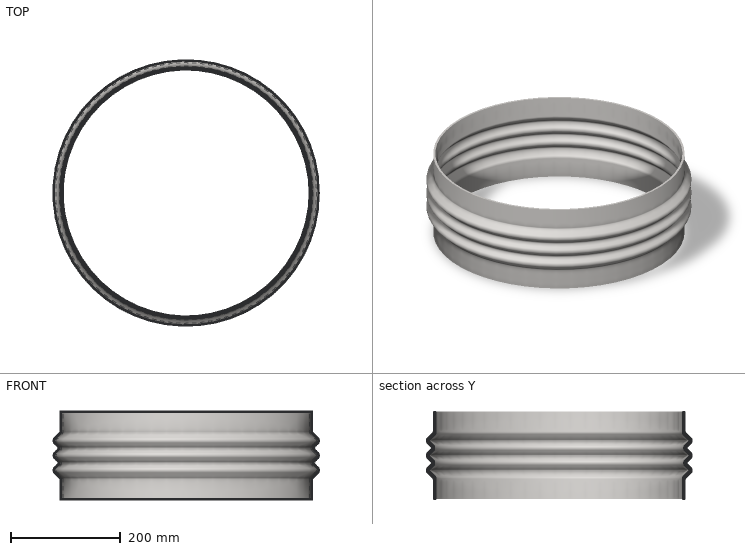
import cadquery as cq
import math

height = 160.0
collar_outer_diameter = 458.0
collar_inner_diameter = 450.0
fold_height = 15.0
ridge_pitch = 27.0
ridge_count = 3
tight_bend_radius = 2.0

wall = (collar_outer_diameter - collar_inner_diameter) / 2
wide_bend_radius = tight_bend_radius + wall
half_height = height / 2
full_turn = 360

flank_slant = math.sqrt(2)
outer_apex_radius = collar_outer_diameter / 2 + fold_height


def fold_corners(depth):
    """Sharp (radius, z) corners of the surface lying at a depth below the outer skin, top to bottom."""
    collar_radius = collar_outer_diameter / 2 - depth
    apex_radius = outer_apex_radius - depth * flank_slant
    valley_radius = apex_radius - ridge_pitch / 2
    top_ridge_z = ridge_pitch * (ridge_count - 1) / 2
    neck_z = top_ridge_z + apex_radius - collar_radius

    corners = [(collar_radius, neck_z)]
    for ridge in range(ridge_count):
        ridge_z = top_ridge_z - ridge * ridge_pitch
        if ridge > 0:
            corners.append((valley_radius, ridge_z + ridge_pitch / 2))
        corners.append((apex_radius, ridge_z))
    corners.append((collar_radius, -neck_z))
    return corners


def unit_vector(start, end):
    return (end - start).normalized()


def add_bend(profile, before, corner, after, bend_radius):
    """Draw up to a corner and round it with a tangent arc."""
    to_before = unit_vector(corner, before)
    to_after = unit_vector(corner, after)
    half_angle = to_before.getAngle(to_after) / 2
    tangent_length = bend_radius / math.tan(half_angle)
    middle_length = bend_radius / math.sin(half_angle) - bend_radius
    bisector = (to_before + to_after).normalized()

    arc_start = corner + to_before * tangent_length
    arc_middle = corner + bisector * middle_length
    arc_end = corner + to_after * tangent_length
    profile = profile.lineTo(arc_start.x, arc_start.y)
    return profile.threePointArc((arc_middle.x, arc_middle.y), (arc_end.x, arc_end.y))


def folded_body(depth, ridge_bend_radius, valley_bend_radius):
    """Solid of revolution filled from the axis out to the folded surface at a depth."""
    collar_radius = collar_outer_diameter / 2 - depth
    path = [(collar_radius, half_height)] + fold_corners(depth) + [(collar_radius, -half_height)]
    points = [cq.Vector(radius, z) for radius, z in path]

    profile = cq.Workplane("XZ").moveTo(0, half_height).lineTo(collar_radius, half_height)
    for before, corner, after in zip(points, points[1:], points[2:]):
        is_ridge = corner.x > before.x and corner.x > after.x
        bend_radius = ridge_bend_radius if is_ridge else valley_bend_radius
        profile = add_bend(profile, before, corner, after, bend_radius)
    profile = profile.lineTo(collar_radius, -half_height).lineTo(0, -half_height).close()
    return profile.revolve(full_turn, (0, 0, 0), (0, 1, 0))


outer_body = folded_body(0, wide_bend_radius, tight_bend_radius)
inner_cavity = folded_body(wall, tight_bend_radius, wide_bend_radius)
result = outer_body.cut(inner_cavity)